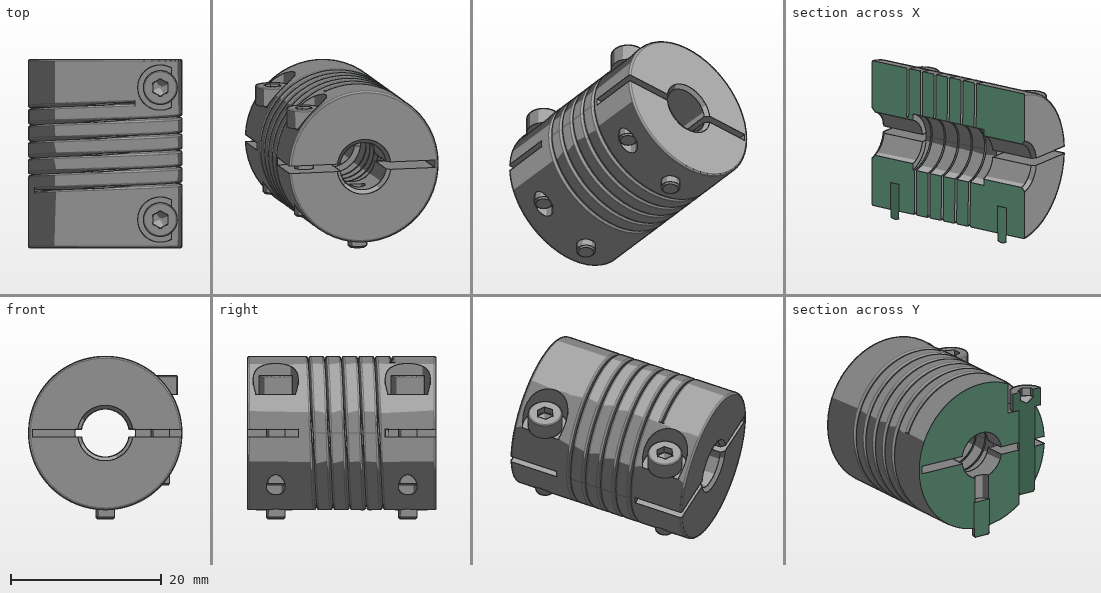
import cadquery as cq
import math

body_diameter = 20.35
body_length = 25.0
edge_rounding = 0.25
bore_diameter = 6.35
bore_chamfer = 0.5
body_radius = body_diameter / 2
bore_radius = bore_diameter / 2

slit_width = 1.0
slit_depth = 6.75
hinge_x = -9.65

relief_radius = 4.0
relief_length = body_length - 2 * slit_depth

groove_pitch = 2.2
groove_turns = 5.25
groove_sections = 3
groove_width = 0.25
groove_edge_rounding = 0.25
groove_start_y = -4.86
groove_start_angle = 157.0
radius_tolerance = 0.01
groove_overlap = 0.5

screw_x = 7.3
screw_y = body_length / 2 - 3.75
screw_diameter = 2.5
screw_length = 12.0
screw_tip_diameter = 2.05
head_diameter = 4.5
head_height = 2.5
head_rounding = 0.15
head_seat_z = 5.1
head_recess_diameter = 6.0
hex_width = 2.0
hex_depth = 1.1
hex_corner_radius = hex_width / 2 / math.cos(math.pi / 6)
hex_cone_depth = hex_corner_radius * math.tan(math.pi / 6)
tip_chamfer = (screw_diameter - screw_tip_diameter) / 2

set_screw_length = 5.0
set_screw_protrusion = 1.21
set_screw_bottom_z = -body_radius - set_screw_protrusion
set_screw_top_z = set_screw_bottom_z + set_screw_length
set_screw_lead_diameter = 2.05


def cylinder(diameter, bottom_z, top_z, x, y):
    """Upright cylinder between two heights."""
    height = top_z - bottom_z
    return cq.Workplane("XY", origin=(x, y, bottom_z)).circle(diameter / 2).extrude(height)


def make_blank():
    """Turned body with its bore, relief bore and rounded outer edges."""
    half = body_length / 2
    outline = [
        (body_radius, -half),
        (body_radius, half),
        (bore_radius + bore_chamfer, half),
        (bore_radius, half - bore_chamfer),
        (bore_radius, relief_length / 2),
        (relief_radius, relief_length / 2),
        (relief_radius, -relief_length / 2),
        (bore_radius, -relief_length / 2),
        (bore_radius, -half + bore_chamfer),
        (bore_radius + bore_chamfer, -half),
    ]
    blank = cq.Workplane("XY").polyline(outline).close().revolve(360, (0, 0), (0, 1))
    rims = cq.selectors.RadiusNthSelector(-1)
    return blank.faces("<Y or >Y").edges(rims).fillet(edge_rounding)


def make_groove_cutter(section):
    """One section of the groove: a rectangle swept along a helix that runs along +Y."""
    inner_radius = relief_radius - groove_overlap
    outer_radius = body_radius + groove_overlap
    profile = cq.Workplane("XZ").center((inner_radius + outer_radius) / 2, 0)
    profile = profile.rect(outer_radius - inner_radius, groove_width)
    section_turns = groove_turns / groove_sections
    turns_before = section * section_turns
    helix = cq.Wire.makeHelix(groove_pitch, groove_pitch * section_turns, body_radius)
    cutter = profile.sweep(cq.Workplane(helix), isFrenet=True)
    cutter = cutter.rotate((0, 0, 0), (0, 0, 1), 360 * turns_before - groove_start_angle)
    cutter = cutter.rotate((0, 0, 0), (1, 0, 0), -90)
    return cutter.translate((0, groove_start_y + turns_before * groove_pitch, 0))


def cut_groove(blank):
    """Blank with the helical groove, its edges rounded where it breaks the outer surface."""
    grooved = blank
    for section in range(groove_sections):
        grooved = grooved.cut(make_groove_cutter(section))
    helical_edges = [edge for edge in grooved.edges().vals() if is_helical_outer_edge(edge)]
    return grooved.newObject(helical_edges).fillet(groove_edge_rounding)


def is_helical_outer_edge(edge):
    """True for the long groove edges on the outer surface, false for the short ones at its ends."""
    if edge.geomType() in ("LINE", "CIRCLE"):
        return False
    points = edge.positions([0, 0.25, 0.5, 0.75, 1])
    return all(abs(math.hypot(point.x, point.z) - body_radius) < radius_tolerance for point in points)


def make_slit_cutter(side):
    """Clamping slit from one end of the body, open on the +X side only."""
    slit_length = body_radius - hinge_x
    centre = (hinge_x + slit_length / 2, side * (body_length - slit_depth) / 2, 0)
    return cq.Workplane("XY").box(slit_length, slit_depth, slit_width).translate(centre)


def make_clamp_screw(y):
    """Socket head cap screw with its head on top and its tip chamfered."""
    tip_z = head_seat_z - screw_length
    head_top_z = head_seat_z + head_height
    shank = cylinder(screw_diameter, tip_z, head_seat_z, screw_x, y)
    shank = shank.faces("<Z").chamfer(tip_chamfer)
    head = cylinder(head_diameter, head_seat_z, head_top_z, screw_x, y)
    head = head.faces(">Z").fillet(head_rounding)
    socket = (
        cq.Workplane("XY", origin=(screw_x, y, head_top_z))
        .polygon(6, 2 * hex_corner_radius)
        .extrude(-hex_depth)
        .rotate((screw_x, y, 0), (screw_x, y, 1), 30)
    )
    cone = cq.Solid.makeCone(
        hex_corner_radius, 0, hex_cone_depth,
        pnt=cq.Vector(screw_x, y, head_top_z - hex_depth), dir=cq.Vector(0, 0, -1),
    )
    return head.union(shank).cut(socket).cut(cq.Workplane(cone))


def make_set_screw(y):
    """Plain set screw with a chamfered outer end."""
    screw = cylinder(screw_diameter, set_screw_bottom_z, set_screw_top_z, 0, y)
    return screw.faces("<Z").chamfer(tip_chamfer)


def make_body():
    """Coupling body with slits, screw holes and the helical groove."""
    body = cut_groove(make_blank())
    for side in (-1, 1):
        y = side * screw_y
        body = body.cut(make_slit_cutter(side))
        body = body.cut(cylinder(screw_diameter, -body_radius, body_radius, screw_x, y))
        body = body.cut(cylinder(head_recess_diameter, head_seat_z, body_radius, screw_x, y))
        body = body.cut(cylinder(set_screw_lead_diameter, -body_radius, 0, 0, y))
        body = body.cut(cylinder(screw_diameter, -body_radius, set_screw_top_z, 0, y))
    return body


body = make_body()
clamp_screws = [make_clamp_screw(side * screw_y) for side in (-1, 1)]
set_screws = [make_set_screw(side * screw_y) for side in (-1, 1)]

screws = [screw.val() for screw in clamp_screws + set_screws]
result = cq.Compound.makeCompound([body.val(), *screws])